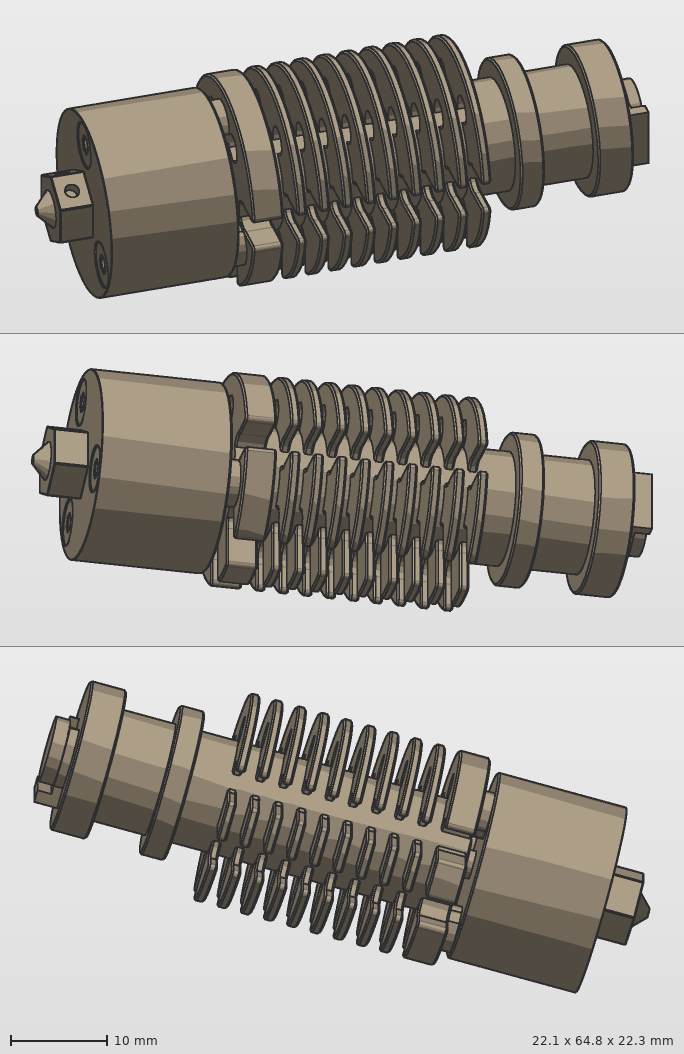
import cadquery as cq
import math


TOTAL_LENGTH = 64.8
CONE_LENGTH = 1.5
HEX_LENGTH = 3.6
BLOCK_LENGTH = 13.85
BLOCK_GAP = 1.15
BASE_THICKNESS = 3.3
HEX_START = CONE_LENGTH
BLOCK_START = HEX_START + HEX_LENGTH
BLOCK_END = BLOCK_START + BLOCK_LENGTH
BASE_START = BLOCK_END + BLOCK_GAP
BASE_END = BASE_START + BASE_THICKNESS

NOZZLE_ACROSS_FLATS = 7.0
CONE_DIAMETER = 4.0
TIP_DIAMETER = 1.0
ORIFICE_DIAMETER = 0.4
NOZZLE_CHAMFER = 0.1
SIDE_HOLE_DIAMETER = 1.5
SIDE_HOLE_DEPTH = 1.3
SIDE_HOLE_ANGLES = (60, 120)

BLOCK_DIAMETER = 19.95
BLOCK_FRONT_CHAMFER = 0.05

PATTERN_RADIUS = 7.25
SCREW_ANGLES = (90, 210, 330)
SCREW_RECESS = 0.1
HEAD_DIAMETER = 4.7
HEAD_HEIGHT = 2.5
SHANK_DIAMETER = 2.5
SHANK_DEPTH_IN_BASE = 1.95
SOCKET_ACROSS_FLATS = 1.55
SOCKET_DEPTH = 1.0
SOCKET_CHAMFER = 0.1

COLUMN_DIAMETER = 12.0
FIN_DIAMETER = 22.3
FIN_THICKNESS = 1.0
FIN_PITCH = 2.5
FIN_COUNT = 9
FIN_CORNER_RADIUS = 0.45
EDGE_CHAMFER = 0.2
PASSAGE_DIAMETER = 3.1
NOTCH_WIDTH = 3.0
PASSAGE_ANGLES = (0, 60, 120, 180, 240, 300)
BOTTOM_NOTCH_ANGLES = (240, 300)
POST_DIAMETER = 4.9
BOSS_DIAMETER = 5.0
BOSS_HEIGHT = 0.4
TUBE_DIAMETER = 3.0
COLLAR_DIAMETER = 16.0
FRONT_COLLAR_START = 50.1
FRONT_COLLAR_THICKNESS = 2.6
REAR_COLLAR_START = 58.5
REAR_COLLAR_THICKNESS = 3.8
REAR_COLLAR_END = REAR_COLLAR_START + REAR_COLLAR_THICKNESS

COLLET_DIAMETER = 7.0
COLLET_RING_THICKNESS = 1.5
NECK_DIAMETER = 5.6
CLIP_DIAMETER = 8.6
CLIP_OPENING = 4.9
CLIP_REACH = 3.4
CLIP_TAB_WIDTH = 6.35
CLIP_TAB_EDGE = 5.1
CLIP_TAB_THICKNESS = 1.3
COLLET_RING_START = TOTAL_LENGTH - COLLET_RING_THICKNESS
CLIP_THICKNESS = COLLET_RING_START - REAR_COLLAR_END


def cross_section(start):
    """Workplane across the axis at Y = start: local x is X, local y is Z."""
    return cq.Workplane("XZ", origin=(0, start, 0))


def disc(diameter, start, length, center=(0, 0)):
    """Cylinder along the axis that runs from Y = start toward +Y."""
    return cross_section(start).center(*center).circle(diameter / 2).extrude(-length)


def bar(x_range, z_range, start, length):
    """Rectangular bar along the axis that runs from Y = start toward +Y."""
    width = x_range[1] - x_range[0]
    height = z_range[1] - z_range[0]
    corner = cross_section(start).moveTo(x_range[0], z_range[0])
    return corner.rect(width, height, centered=False).extrude(-length)


def on_pattern(angle):
    """X and Z of the place at an angle on the screw circle."""
    turn = math.radians(angle)
    return PATTERN_RADIUS * math.cos(turn), PATTERN_RADIUS * math.sin(turn)


def passage_holes(start, length):
    """Six round lengthwise holes between the screws."""
    cutter = disc(PASSAGE_DIAMETER, start, length, on_pattern(PASSAGE_ANGLES[0]))
    for angle in PASSAGE_ANGLES[1:]:
        cutter = cutter.union(disc(PASSAGE_DIAMETER, start, length, on_pattern(angle)))
    return cutter


def rim_notches(start, length):
    """Narrower notches that open one side hole and two bottom holes to the rim."""
    half = NOTCH_WIDTH / 2
    rim = FIN_DIAMETER / 2
    cutter = bar((PATTERN_RADIUS, rim), (-half, half), start, length)
    for angle in BOTTOM_NOTCH_ANGLES:
        x, z = on_pattern(angle)
        cutter = cutter.union(bar((x - half, x + half), (-rim, z), start, length))
    return cutter


def notched_disc(start, thickness):
    """Fin or base disc with its passages, rounded notch corners and chamfered outline."""
    plate = disc(FIN_DIAMETER, start, thickness)
    plate = plate.cut(passage_holes(start, thickness)).cut(rim_notches(start, thickness))
    near_rim = FIN_DIAMETER / 2 - FIN_CORNER_RADIUS
    corners = plate.edges("|Y").filter(lambda e: math.hypot(e.Center().x, e.Center().z) > near_rim)
    plate = corners.fillet(FIN_CORNER_RADIUS)
    outlines = [face.outerWire() for face in plate.faces("<Y or >Y").vals()]
    edges = [edge for wire in outlines for edge in wire.Edges()]
    return plate.newObject(edges).chamfer(EDGE_CHAMFER)


def collar(start, thickness):
    """Mounting collar with both rims chamfered."""
    return disc(COLLAR_DIAMETER, start, thickness).edges().chamfer(EDGE_CHAMFER)


def collet():
    """Collet ring on its neck, with a C-shaped clip around the neck."""
    tab_half = CLIP_TAB_WIDTH / 2
    opening_half = CLIP_OPENING / 2
    base_width = (-tab_half, tab_half)
    opening_width = (-opening_half, opening_half)
    full_width = (-CLIP_DIAMETER, CLIP_DIAMETER)
    clip = disc(CLIP_DIAMETER, REAR_COLLAR_END, CLIP_THICKNESS)
    clip = clip.union(bar((0, CLIP_TAB_EDGE), base_width, REAR_COLLAR_END, CLIP_THICKNESS))
    clip = clip.cut(bar((-CLIP_DIAMETER, 0), opening_width, REAR_COLLAR_END, CLIP_THICKNESS))
    clip = clip.cut(bar((-CLIP_DIAMETER, -CLIP_REACH), full_width, REAR_COLLAR_END, CLIP_THICKNESS))
    tab = bar(
        (CLIP_TAB_EDGE - CLIP_TAB_THICKNESS, CLIP_TAB_EDGE),
        base_width,
        REAR_COLLAR_END,
        TOTAL_LENGTH - REAR_COLLAR_END,
    )
    neck = disc(NECK_DIAMETER, REAR_COLLAR_END, CLIP_THICKNESS)
    ring = disc(COLLET_DIAMETER, COLLET_RING_START, COLLET_RING_THICKNESS)
    return clip.union(tab).union(neck).union(ring)


def posts():
    """Three posts between the base and the block, scalloped by the passages."""
    body = disc(POST_DIAMETER, BLOCK_END, BLOCK_GAP, on_pattern(SCREW_ANGLES[0]))
    for angle in SCREW_ANGLES[1:]:
        body = body.union(disc(POST_DIAMETER, BLOCK_END, BLOCK_GAP, on_pattern(angle)))
    return body.cut(passage_holes(BLOCK_END, BLOCK_GAP))


def make_heat_sink():
    """Finned column with its collars, collet, posts and central tube."""
    sink = disc(COLUMN_DIAMETER, BASE_START, REAR_COLLAR_START - BASE_START)
    plates = [notched_disc(BASE_START, BASE_THICKNESS)]
    for number in range(1, FIN_COUNT + 1):
        fin_end = BASE_END + number * FIN_PITCH
        plates.append(notched_disc(fin_end - FIN_THICKNESS, FIN_THICKNESS))
    collars = [
        collar(FRONT_COLLAR_START, FRONT_COLLAR_THICKNESS),
        collar(REAR_COLLAR_START, REAR_COLLAR_THICKNESS),
    ]
    boss = disc(BOSS_DIAMETER, BASE_START - BOSS_HEIGHT, BOSS_HEIGHT)
    tube = disc(TUBE_DIAMETER, BLOCK_END, BLOCK_GAP)
    for piece in plates + collars + [collet(), posts(), boss, tube]:
        sink = sink.union(piece)
    for angle in SCREW_ANGLES:
        depth = BLOCK_GAP + SHANK_DEPTH_IN_BASE
        sink = sink.cut(disc(SHANK_DIAMETER, BLOCK_END, depth, on_pattern(angle)))
    return sink


def nozzle():
    """Hexagonal nozzle with corners up and down, a conical tip and two side holes."""
    across_corners = NOZZLE_ACROSS_FLATS / math.cos(math.radians(30))
    body = cross_section(HEX_START).transformed(rotate=(0, 0, 30))
    body = body.polygon(6, across_corners).extrude(-HEX_LENGTH).edges().chamfer(NOZZLE_CHAMFER)
    cone = cq.Solid.makeCone(
        TIP_DIAMETER / 2, CONE_DIAMETER / 2, CONE_LENGTH, cq.Vector(0, 0, 0), cq.Vector(0, 1, 0)
    )
    body = body.union(cq.Workplane(cone))
    body = body.cut(disc(ORIFICE_DIAMETER, 0, CONE_LENGTH + HEX_LENGTH))
    for angle in SIDE_HOLE_ANGLES:
        turn = math.radians(angle)
        inward = cq.Vector(-math.cos(turn), 0, -math.sin(turn))
        mouth = inward * (-NOZZLE_ACROSS_FLATS / 2) + cq.Vector(0, HEX_START + HEX_LENGTH / 2, 0)
        hole = cq.Solid.makeCylinder(SIDE_HOLE_DIAMETER / 2, SIDE_HOLE_DEPTH, mouth, inward)
        body = body.cut(cq.Workplane(hole))
    return body


def head_seat(place):
    """Cutter for one screw head, with a chamfered mouth in the block's front face."""
    mouth_diameter = HEAD_DIAMETER + 2 * SCREW_RECESS
    center = cq.Vector(place[0], BLOCK_START, place[1])
    mouth = cq.Solid.makeCone(
        mouth_diameter / 2, HEAD_DIAMETER / 2, SCREW_RECESS, center, cq.Vector(0, 1, 0)
    )
    return disc(HEAD_DIAMETER, BLOCK_START, SCREW_RECESS + HEAD_HEIGHT, place).union(cq.Workplane(mouth))


def make_heater_block():
    """Heater block and nozzle, with a counterbored hole for each screw."""
    block = disc(BLOCK_DIAMETER, BLOCK_START, BLOCK_LENGTH)
    block = block.edges(">Y").chamfer(EDGE_CHAMFER)
    block = block.edges("<Y").chamfer(BLOCK_FRONT_CHAMFER)
    for angle in SCREW_ANGLES:
        place = on_pattern(angle)
        block = block.cut(head_seat(place))
        block = block.cut(disc(SHANK_DIAMETER, BLOCK_START, BLOCK_LENGTH, place))
    return block.union(nozzle())


def make_screw(angle):
    """Socket-head screw through the block into the heat sink."""
    place = on_pattern(angle)
    head_start = BLOCK_START + SCREW_RECESS
    shank_start = head_start + HEAD_HEIGHT
    shank_end = BASE_START + SHANK_DEPTH_IN_BASE
    screw = disc(HEAD_DIAMETER, head_start, HEAD_HEIGHT, place)
    screw = screw.union(disc(SHANK_DIAMETER, shank_start, shank_end - shank_start, place))
    socket_corners = SOCKET_ACROSS_FLATS / math.cos(math.radians(30))
    socket = cross_section(head_start).center(*place).polygon(6, socket_corners).extrude(-SOCKET_DEPTH)
    screw = screw.cut(socket)
    mouth = screw.faces("<Y").edges("%LINE")
    return mouth.chamfer(SOCKET_CHAMFER)


heat_sink = make_heat_sink()
heater_block = make_heater_block()
screws = [make_screw(angle) for angle in SCREW_ANGLES]

result = cq.Compound.makeCompound(
    [heat_sink.val(), heater_block.val(), *[screw.val() for screw in screws]]
)